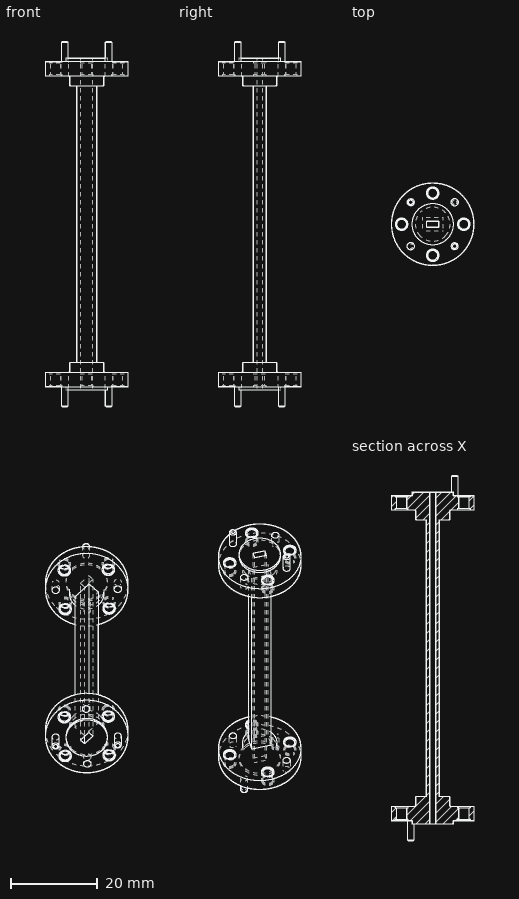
import cadquery as cq
import math

total_length = 84.1

flange_diameter = 19.0
flange_thickness = 3.4
face_boss_diameter = 9.5
face_boss_height = 0.75
collar_diameter = 7.9
collar_height = 2.3
collar_fillet = 0.25

pitch_diameter = 14.3
screw_hole_diameter = 2.3
screw_counterbore_diameter = 2.9
screw_counterbore_depth = 0.3
dowel_hole_diameter = 1.7
pin_diameter = 1.6
pin_projection = 4.6
pin_chamfer = 0.295

tube_width = 4.6
tube_depth = 3.0
bore_width = 2.8
bore_depth = 1.35

half_length = total_length / 2
flange_face = half_length - pin_projection
flange_back = flange_face - flange_thickness
tube_half_length = flange_back - collar_height


def disc(diameter, bottom, top):
    return cq.Workplane("XY").workplane(offset=bottom).circle(diameter / 2).extrude(top - bottom)


def on_pitch_circle(shape, angles):
    """Copies of a shape centred on the Z axis, moved onto the pitch circle."""
    copies = cq.Workplane("XY")
    for angle in angles:
        x = pitch_diameter / 2 * math.cos(math.radians(angle))
        y = pitch_diameter / 2 * math.sin(math.radians(angle))
        copies = copies.add(shape.translate((x, y, 0)))
    return copies.combine()


def screw_hole():
    """Through hole with a counterbore at both faces."""
    hole = disc(screw_hole_diameter, flange_back, flange_face)
    hole = hole.union(disc(screw_counterbore_diameter, flange_back, flange_back + screw_counterbore_depth))
    return hole.union(disc(screw_counterbore_diameter, flange_face - screw_counterbore_depth, flange_face))


def collar():
    """Collar behind the flange, rounded at its free end and filleted into the flange."""
    radius = collar_diameter / 2
    arc_bend = collar_fillet * (1 - math.sqrt(0.5))
    profile = (
        cq.Workplane("XZ")
        .moveTo(0, tube_half_length)
        .lineTo(radius - collar_fillet, tube_half_length)
        .threePointArc(
            (radius - arc_bend, tube_half_length + arc_bend),
            (radius, tube_half_length + collar_fillet),
        )
        .lineTo(radius, flange_back - collar_fillet)
        .threePointArc(
            (radius + arc_bend, flange_back - arc_bend),
            (radius + collar_fillet, flange_back),
        )
        .lineTo(0, flange_back)
        .close()
    )
    return profile.revolve(360, (0, 0), (0, 1))


def flange_end():
    """Upper end flange, with its pins on the +X-Y / -X+Y diagonal."""
    flange = disc(flange_diameter, flange_back, flange_face)
    flange = flange.union(disc(face_boss_diameter, flange_face, flange_face + face_boss_height))
    flange = flange.union(collar())
    dowel_hole = disc(dowel_hole_diameter, flange_back, flange_face)
    pin = disc(pin_diameter, flange_back, half_length).faces(">Z").chamfer(pin_chamfer)
    flange = flange.cut(on_pitch_circle(screw_hole(), (0, 90, 180, 270)))
    flange = flange.cut(on_pitch_circle(dowel_hole, (45, 225)))
    return flange.union(on_pitch_circle(pin, (135, 315)))


upper_end = flange_end()
lower_end = upper_end.rotate((0, 0, 0), (1, 0, 0), 180)
tube = cq.Workplane("XY").box(tube_width, tube_depth, 2 * tube_half_length)
bore = cq.Workplane("XY").box(bore_width, bore_depth, total_length)

result = tube.union(upper_end).union(lower_end).cut(bore)